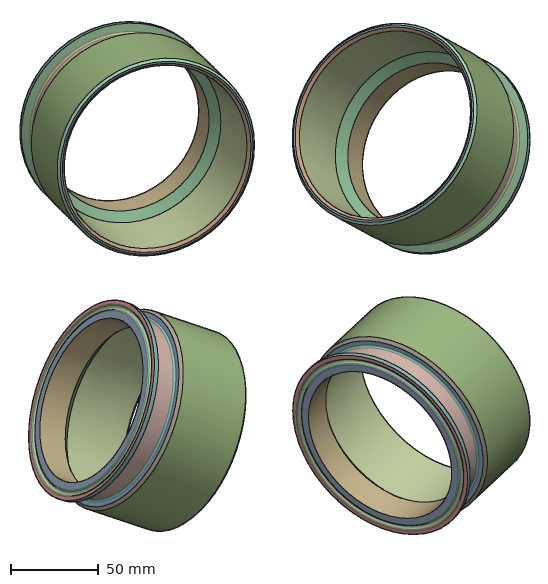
import cadquery as cq
import math

length = 66.6

flange_radius = 118.9 / 2
flange_rim_width = 2.9
flange_back_angle = 20
flange_root_fillet = 1.4

neck_radius = 108.2 / 2
neck_body_fillet = 1.1

body_radius = 119.4 / 2
body_start = 18.7
body_front_chamfer = 1.8
body_end_chamfer = 1.4

bore_radius = 97.4 / 2
bore_length = 18.1
shoulder_length = 5.3
socket_taper = 1 / 16
mouth_chamfer = 1.8

groove_radius = 55.2
groove_depth = 1.5
groove_floor_radius = 1.3
groove_lip_radius = 0.7

flange_back_run = (flange_radius - neck_radius) * math.tan(math.radians(flange_back_angle))
flange_back_end = flange_rim_width + flange_back_run

shoulder_end = bore_length + shoulder_length
socket_start_radius = bore_radius + shoulder_length
socket_end = length - mouth_chamfer
socket_end_radius = socket_start_radius + (socket_end - shoulder_end) * socket_taper / 2


def revolve_about_x(profile):
    """Turn a closed (x, radius) profile into a solid of revolution about the X axis."""
    return profile.close().revolve(360, (0, 0, 0), (1, 0, 0))


def edges_at(x, radius):
    """Select the edges that lie in the plane at x, no farther than radius from the axis."""
    margin = 0.06
    reach = radius + margin
    return cq.selectors.BoxSelector(
        (x - margin, -reach, -reach), (x + margin, reach, reach), boundingbox=True
    )


def make_outside():
    outside = revolve_about_x(
        cq.Workplane("XY")
        .moveTo(0, 0)
        .lineTo(0, flange_radius)
        .lineTo(flange_rim_width, flange_radius)
        .lineTo(flange_back_end, neck_radius)
        .lineTo(body_start, neck_radius)
        .lineTo(body_start, body_radius - body_front_chamfer)
        .lineTo(body_start + body_front_chamfer, body_radius)
        .lineTo(length - body_end_chamfer, body_radius)
        .lineTo(length, body_radius - body_end_chamfer)
        .lineTo(length, 0)
    )
    outside = outside.edges(edges_at(flange_back_end, neck_radius)).fillet(flange_root_fillet)
    return outside.edges(edges_at(body_start, neck_radius)).fillet(neck_body_fillet)


def make_passage():
    return revolve_about_x(
        cq.Workplane("XY")
        .moveTo(0, 0)
        .lineTo(0, bore_radius)
        .lineTo(bore_length, bore_radius)
        .lineTo(shoulder_end, socket_start_radius)
        .lineTo(socket_end, socket_end_radius)
        .lineTo(length, socket_end_radius + mouth_chamfer)
        .lineTo(length, 0)
    )


def make_groove():
    center_distance = groove_floor_radius + groove_lip_radius
    axial_offset = center_distance - groove_depth
    half_width = math.sqrt(center_distance**2 - axial_offset**2)
    lip_angle = math.acos(axial_offset / center_distance)

    touch_x = groove_lip_radius * (1 - math.cos(lip_angle))
    touch_offset = groove_floor_radius * math.sin(lip_angle)
    lip_middle_x = groove_lip_radius * (1 - math.cos(lip_angle / 2))
    lip_middle_offset = half_width - groove_lip_radius * math.sin(lip_angle / 2)

    return revolve_about_x(
        cq.Workplane("XY")
        .moveTo(0, groove_radius - half_width)
        .threePointArc(
            (lip_middle_x, groove_radius - lip_middle_offset), (touch_x, groove_radius - touch_offset)
        )
        .threePointArc((groove_depth, groove_radius), (touch_x, groove_radius + touch_offset))
        .threePointArc((lip_middle_x, groove_radius + lip_middle_offset), (0, groove_radius + half_width))
    )


result = make_outside().cut(make_passage()).cut(make_groove())